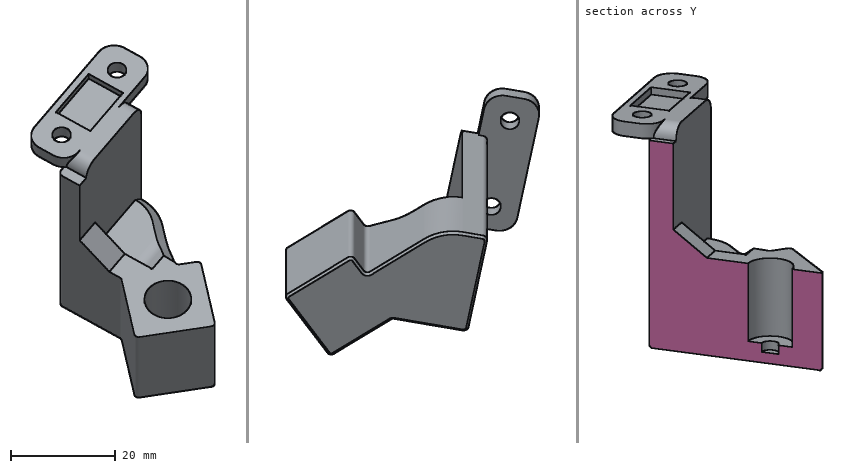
import cadquery as cq
import math

total_height = 45.5

block_side = 15.75
block_height = 20.0
corner_radius = 0.85
bore_diameter = 9.0
bore_depth = 15.92
pilot_diameter = 3.35
pilot_depth = 1.8

plate_thickness = 3.0
cap_radius = 2.95
column_left = -25.0
column_right = -19.95
column_front = -0.9
column_rear = 20.0
column_corner_radius = 1.05
column_top = total_height - plate_thickness

wall_rear = 4.3
gusset_right = -13.0
gusset_top = 24.9

floor_depth = 3.0
floor_height = block_height - floor_depth
ramp_right = -6.6
ramp_angle = 41.5
ramp_blend_radius = 4.2
web_corner_radius = 10.0
slant_offset = 4.15
web_chamfer = 2.0
bottom_chamfer = 0.5

plate_left = -33.8
plate_width = 10.7
plate_front_width = 10.37
plate_front = 0.35
plate_length = 29.0
plate_rear = plate_front + plate_length
plate_corner_radius = 3.55

screw_diameter = 3.6
screw_spacing = 18.85
screw_x = plate_left + 5.35
recess_width = 8.0
recess_length = 11.1
recess_depth = 1.5
recess_x = screw_x + 0.05
fixing_center_y = 14.75


def nearest(x, y, z):
    """Selects the edge whose middle is closest to a point."""
    return cq.selectors.NearestToPointSelector((x, y, z))


def side_profile(points, y_front, y_rear):
    """Prism along Y over an outline given in X and Z."""
    return cq.Workplane("XZ", origin=(0, y_front, 0)).polyline(points).close().extrude(y_front - y_rear)


def make_footprint():
    """Column, web and block outline, extruded to the column top."""
    web = (
        cq.Workplane("XY")
        .polyline([
            (column_left, column_front),
            (0, column_front),
            (0, slant_offset),
            (slant_offset - column_rear, column_rear),
            (column_left, column_rear),
        ])
        .close()
        .extrude(column_top)
    )
    web_corner = nearest(slant_offset - column_rear, column_rear, column_top / 2)
    web = web.edges(web_corner).fillet(web_corner_radius)
    web = web.edges("|Z and <X").fillet(column_corner_radius)
    block = cq.Workplane("XY").rect(block_side, block_side).extrude(column_top)
    body = web.union(block.rotate((0, 0, 0), (0, 0, 1), 45))
    half_diagonal = block_side / math.sqrt(2)
    notch_y = (slant_offset + half_diagonal) / 2
    corners = [
        (half_diagonal, 0),
        (0, half_diagonal),
        (0, -half_diagonal),
        (slant_offset - notch_y, notch_y),
        (-half_diagonal - column_front, column_front),
    ]
    for x, y in corners:
        body = body.edges(nearest(x, y, column_top / 2)).fillet(corner_radius)
    return body.faces("<Z").chamfer(bottom_chamfer)


def cut_web_pocket(body):
    """Sink the floor behind the wall, blend it into the ramp and chamfer the rear rim."""
    slope = math.tan(math.radians(ramp_angle))
    ramp_left = ramp_right - floor_depth / slope
    ramp_end = ramp_right + (column_top - block_height) / slope
    pocket = side_profile(
        [
            (column_right, floor_height),
            (ramp_left, floor_height),
            (ramp_end, column_top),
            (column_right, column_top),
        ],
        wall_rear,
        column_rear,
    )
    pocket_middle = (wall_rear + column_rear) / 2
    pocket = pocket.edges(nearest(ramp_left, pocket_middle, floor_height)).fillet(ramp_blend_radius)
    body = body.cut(pocket)
    rim = nearest(ramp_right, slant_offset - ramp_right, block_height)
    return body.edges(rim).chamfer(web_chamfer)


def make_space_above_block():
    """Everything right of the column above the gusset and the block."""
    reach = block_side
    return side_profile(
        [
            (column_right, column_top),
            (column_right, gusset_top),
            (gusset_right, block_height),
            (reach, block_height),
            (reach, column_top),
        ],
        -reach,
        column_rear,
    )


def make_cap():
    """Rounded top of the column, level with the plate."""
    cap_front = wall_rear - plate_thickness
    return (
        cq.Workplane("XY", origin=(column_left, cap_front, column_top))
        .box(column_right - column_left, column_rear - cap_front, plate_thickness, centered=False)
        .edges("|X and >Z")
        .fillet(cap_radius)
    )


def plate_slab(width, front, rear):
    """Square-cornered slab at plate height, starting at the left side of the plate."""
    return cq.Workplane("XY", origin=(plate_left, front, column_top)).box(
        width, rear - front, plate_thickness, centered=False
    )


def make_plate():
    """Rounded plate, slightly narrower at its front corner than behind the wall."""
    full_length = plate_slab(plate_front_width, plate_front, plate_rear)
    full_length = full_length.edges("|Z").fillet(plate_corner_radius)
    rear_part = plate_slab(plate_width, wall_rear, plate_rear)
    rear_part = rear_part.edges("|Z and >Y").fillet(plate_corner_radius)
    return full_length.union(rear_part)


def make_screw_holes():
    return (
        cq.Workplane("XY", origin=(screw_x, fixing_center_y, total_height))
        .rarray(0.45, screw_spacing, 1, 2)
        .circle(screw_diameter / 2)
        .extrude(-plate_thickness)
    )


def make_recess():
    return (
        cq.Workplane("XY", origin=(recess_x, fixing_center_y, total_height))
        .rect(recess_width, recess_length)
        .extrude(-recess_depth)
    )


def make_bore():
    """Blind bore with a smaller blind pilot hole in its floor."""
    block_top = cq.Workplane("XY", origin=(0, 0, block_height))
    bore = block_top.circle(bore_diameter / 2).extrude(-bore_depth)
    pilot = block_top.circle(pilot_diameter / 2).extrude(-bore_depth - pilot_depth)
    return bore.union(pilot)


body = cut_web_pocket(make_footprint()).cut(make_space_above_block())
body = body.union(make_cap()).union(make_plate())
result = body.cut(make_recess()).cut(make_screw_holes()).cut(make_bore())